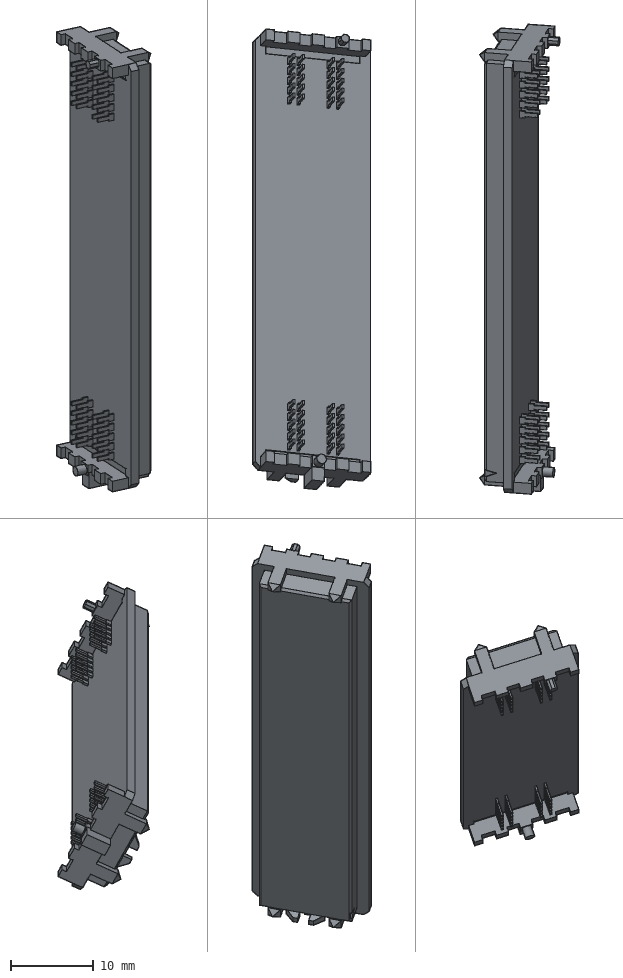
import cadquery as cq
import math


PLATE_WIDTH = 14.68
PLATE_HEIGHT = 55.68
PLATE_THICKNESS = 1.1
PLATE_CORNER_CHAMFER = 0.7
HALF_HEIGHT = PLATE_HEIGHT / 2

COVER_WIDTH = 11.6
COVER_END_INSET = 0.9
COVER_BACK = 3.86
COVER_CHAMFER = 0.3

MARK_DEPTH = 0.2
MARK_TIP_Y = 2.3
MARK_TIP_RISE = 2.05
MARK_LOW_RISE = 1.4
MARK_HIGH_RISE = 2.4

CLIP_WIDTH = 13.34
CLIP_HEIGHT = 1.4
CLIP_FRONT = -2.25
NOTCH_DEPTH = 0.6
INNER_NOTCH = (0.78, 2.33)
OUTER_NOTCH = (3.86, 5.61)

ARM_SPACING = 7.62
ARM_WIDTH = 1.55
ARM_HEIGHT = 1.2
ARM_BACK = 4.04
ARM_POINT_Y = 4.84

HOOK_INNER_X = 0.7
HOOK_CREST_WIDTH = 0.58
HOOK_BACK = 4.74
HOOK_ROOT = 3.6
HOOK_BASE_RISE = 0.3
HOOK_CREST_RISE = 1.0
HOOK_ROOT_RISE = 1.2

RECESS_WIDTH = 12.0
RECESS_HEIGHT = 0.95
RECESS_DEPTH = 0.2

PEG_FRONT = -3.54
PEG_INSET = 0.62
ROUND_PEG_DIAMETER = 1.2
OCTAGON_PEG_X = 3.02
OCTAGON_PEG_FLATS = 1.0
OCTAGON_SIDES = 8
TAB_WIDTH = 1.57
TAB_DROP = 1.7
TAB_FRONT = -2.1

PIN_COLUMNS = (-3.1, -1.9, 1.9, 3.1)
PIN_ROWS = 5
PIN_PITCH = 1.27
PIN_END_INSET = 3.04
PIN_THICKNESS = 0.25
PIN_COLLAR_HEIGHT = 0.86
PIN_COLLAR_LENGTH = 0.68
PIN_HEIGHT = 0.5
PIN_LENGTH = 2.25

EMBED = 0.4


def block(x_range, y_range, z_range):
    """Box spanning the given pairs of limits, in either order."""
    x0, x1 = sorted(x_range)
    y0, y1 = sorted(y_range)
    z0, z1 = sorted(z_range)
    return cq.Workplane("XY").box(x1 - x0, y1 - y0, z1 - z0, centered=False).translate((x0, y0, z0))


def centred_block(x, width, y_range, z, height):
    return block((x - width / 2, x + width / 2), y_range, (z - height / 2, z + height / 2))


def from_end(end, distance):
    """Z level at a distance inward from the upper (end = 1) or lower (end = -1) plate edge."""
    return end * (HALF_HEIGHT - distance)


def make_plate():
    plate = centred_block(0, PLATE_WIDTH, (0, PLATE_THICKNESS), 0, PLATE_HEIGHT)
    plate = plate.edges("|Y").chamfer(PLATE_CORNER_CHAMFER)
    for end in (1, -1):
        z = from_end(end, CLIP_HEIGHT + RECESS_HEIGHT / 2)
        plate = plate.cut(centred_block(0, RECESS_WIDTH, (0, RECESS_DEPTH), z, RECESS_HEIGHT))
    return plate


def make_cover():
    height = PLATE_HEIGHT - 2 * COVER_END_INSET
    cover = centred_block(0, COVER_WIDTH, (PLATE_THICKNESS, COVER_BACK), 0, height)
    cover = cover.faces(">Y").chamfer(COVER_CHAMFER)
    mark = (
        cq.Workplane("YZ", origin=(-COVER_WIDTH / 2, 0, 0))
        .moveTo(MARK_TIP_Y, from_end(-1, MARK_TIP_RISE))
        .lineTo(COVER_BACK, from_end(-1, MARK_HIGH_RISE))
        .lineTo(COVER_BACK, from_end(-1, MARK_LOW_RISE))
        .close()
        .extrude(MARK_DEPTH)
    )
    return cover.cut(mark)


def make_arm(x, end):
    """Arm reaching back past the cover, ending in a four-sided point."""
    z = from_end(end, ARM_HEIGHT / 2)
    arm = centred_block(x, ARM_WIDTH, (0, ARM_BACK), z, ARM_HEIGHT)
    left, right = x - ARM_WIDTH / 2, x + ARM_WIDTH / 2
    low, high = z - ARM_HEIGHT / 2, z + ARM_HEIGHT / 2
    apex = cq.Vector(x, ARM_POINT_Y, z)
    outline = ((left, low), (right, low), (right, high), (left, high))
    corners = [cq.Vector(corner_x, ARM_BACK, corner_z) for corner_x, corner_z in outline]
    faces = [cq.Face.makeFromWires(cq.Wire.makePolygon(corners, close=True))]
    for first, second in zip(corners, corners[1:] + corners[:1]):
        faces.append(cq.Face.makeFromWires(cq.Wire.makePolygon([first, second, apex], close=True)))
    point = cq.Solid.makeSolid(cq.Shell.makeShell(faces))
    return arm.union(cq.Workplane(obj=point))


def make_clip(end):
    clip_z = (from_end(end, 0), from_end(end, CLIP_HEIGHT))
    clip = centred_block(0, CLIP_WIDTH, (CLIP_FRONT, EMBED), from_end(end, CLIP_HEIGHT / 2), CLIP_HEIGHT)
    for side in (1, -1):
        for near, far in (INNER_NOTCH, OUTER_NOTCH):
            notch_y = (CLIP_FRONT, CLIP_FRONT + NOTCH_DEPTH)
            clip = clip.cut(block((side * near, side * far), notch_y, clip_z))
        clip = clip.union(make_arm(side * ARM_SPACING / 2, end))
    return clip


def make_hook(side):
    """Hook with an upright inner flank, a 45 degree outer flank and a sloping top."""
    root_x = HOOK_INNER_X + HOOK_CREST_WIDTH + HOOK_BACK - HOOK_ROOT
    flank = (
        cq.Workplane("XY", origin=(0, 0, from_end(-1, HOOK_BASE_RISE)))
        .moveTo(side * HOOK_INNER_X, HOOK_ROOT)
        .lineTo(side * HOOK_INNER_X, HOOK_BACK)
        .lineTo(side * (HOOK_INNER_X + HOOK_CREST_WIDTH), HOOK_BACK)
        .lineTo(side * root_x, HOOK_ROOT)
        .close()
        .extrude(HOOK_ROOT_RISE)
    )
    profile = (
        cq.Workplane("YZ")
        .moveTo(HOOK_ROOT, from_end(-1, HOOK_BASE_RISE))
        .lineTo(HOOK_BACK, from_end(-1, HOOK_BASE_RISE))
        .lineTo(HOOK_BACK, from_end(-1, HOOK_CREST_RISE))
        .lineTo(HOOK_ROOT, from_end(-1, HOOK_ROOT_RISE))
        .close()
        .extrude(root_x, both=True)
    )
    return flank.intersect(profile)


def make_pegs():
    """Octagonal peg on the upper clip and round peg on the lower clip."""
    length = CLIP_FRONT + EMBED - PEG_FRONT
    half_step = 180 / OCTAGON_SIDES
    octagon_peg = (
        cq.Workplane("XZ", origin=(OCTAGON_PEG_X, CLIP_FRONT + EMBED, from_end(1, PEG_INSET)))
        .transformed(rotate=(0, 0, half_step))
        .polygon(OCTAGON_SIDES, OCTAGON_PEG_FLATS / math.cos(math.radians(half_step)))
        .extrude(length)
    )
    round_peg = (
        cq.Workplane("XZ", origin=(0, CLIP_FRONT + EMBED, from_end(-1, PEG_INSET)))
        .circle(ROUND_PEG_DIAMETER / 2)
        .extrude(length)
    )
    return octagon_peg.union(round_peg)


def make_tab():
    top = from_end(-1, EMBED)
    bottom = from_end(-1, -TAB_DROP)
    return block((-TAB_WIDTH / 2, TAB_WIDTH / 2), (TAB_FRONT, PLATE_THICKNESS), (bottom, top))


def make_pin(x, z):
    collar = centred_block(x, PIN_THICKNESS, (-PIN_COLLAR_LENGTH, EMBED), z, PIN_COLLAR_HEIGHT)
    return collar.union(centred_block(x, PIN_THICKNESS, (-PIN_LENGTH, EMBED), z, PIN_HEIGHT))


result = make_plate().union(make_cover()).union(make_tab())
for plate_end in (1, -1):
    result = result.union(make_clip(plate_end))
    for row in range(PIN_ROWS):
        pin_z = from_end(plate_end, PIN_END_INSET + row * PIN_PITCH)
        for column_x in PIN_COLUMNS:
            result = result.union(make_pin(column_x, pin_z))
for hook_side in (1, -1):
    result = result.union(make_hook(hook_side))
result = result.union(make_pegs())